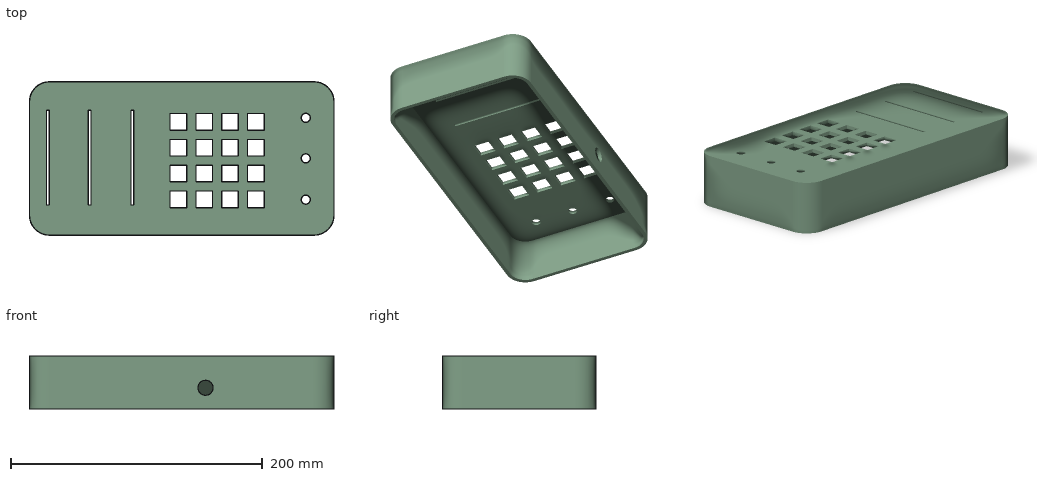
import cadquery as cq

LENGTH = 242.0
WIDTH = 122.0
HEIGHT = 42.4
CORNER_RADIUS = 16.0
WALL = 3.0
TOP_THICKNESS = 3.0

SLOT_WIDTH = 2.0
SLOT_LENGTH = 75.0
SLOT_POSITIONS_X = (-106.25, -73.15, -39.15)
SLOT_CENTRE_Y = 0.7

KEY_SIZE = 13.0
KEY_PITCH = 20.5
KEY_COUNT = 4
KEY_CENTRE_X = 28.1
KEY_CENTRE_Y = -1.7

KNOB_DIAMETER = 7.0
KNOB_X = 98.5
KNOB_POSITIONS_Y = (-32.7, 0.1, 32.3)

CABLE_DIAMETER = 12.0
CABLE_X = 18.9
CABLE_Z = 17.0


def rounded_block(length, width, height, radius):
    """Block standing on Z = 0 with rounded vertical edges."""
    return cq.Workplane("XY").box(length, width, height, (True, True, False)).edges("|Z").fillet(radius)


def make_shell():
    outside = rounded_block(LENGTH, WIDTH, HEIGHT, CORNER_RADIUS)
    cavity = rounded_block(
        LENGTH - 2 * WALL,
        WIDTH - 2 * WALL,
        HEIGHT - TOP_THICKNESS,
        CORNER_RADIUS - WALL,
    )
    return outside.cut(cavity)


def top_plane(x=0, y=0):
    """Workplane on the outer top face with its origin at x, y."""
    return cq.Workplane("XY", origin=(x, y, HEIGHT))


def make_slots():
    points = top_plane().pushPoints([(x, SLOT_CENTRE_Y) for x in SLOT_POSITIONS_X])
    return points.rect(SLOT_WIDTH, SLOT_LENGTH).extrude(-TOP_THICKNESS)


def make_key_windows():
    grid_plane = top_plane(KEY_CENTRE_X, KEY_CENTRE_Y)
    points = grid_plane.rarray(KEY_PITCH, KEY_PITCH, KEY_COUNT, KEY_COUNT)
    return points.rect(KEY_SIZE, KEY_SIZE).extrude(-TOP_THICKNESS)


def make_knob_holes():
    points = top_plane().pushPoints([(KNOB_X, y) for y in KNOB_POSITIONS_Y])
    return points.circle(KNOB_DIAMETER / 2).extrude(-TOP_THICKNESS)


def make_cable_hole():
    front = cq.Workplane("XZ", origin=(CABLE_X, -WIDTH / 2, CABLE_Z))
    return front.circle(CABLE_DIAMETER / 2).extrude(-WALL)


result = make_shell()
for opening in (make_slots(), make_key_windows(), make_knob_holes(), make_cable_hole()):
    result = result.cut(opening)